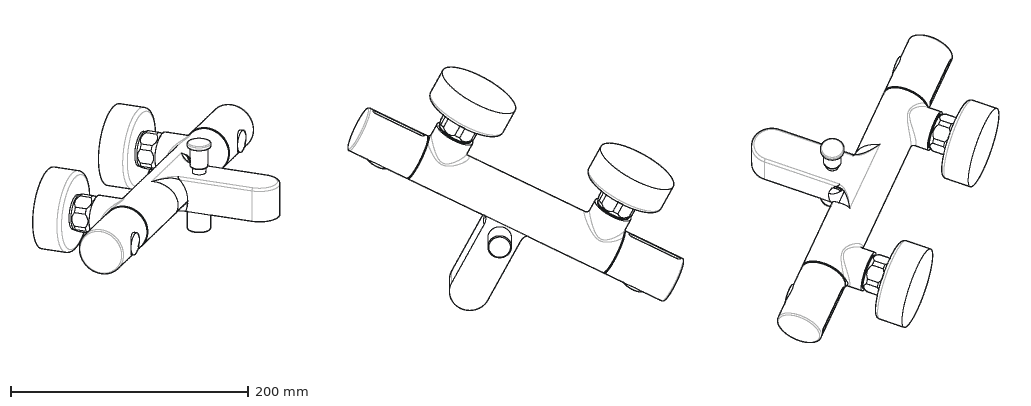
import cadquery as cq
import math

bar_length = 298.8
bar_diameter = 40.0
bar_radius = bar_diameter / 2
bar_end_fillet = 1.2

body_half_length = 92.5
joint_gap = 1.0
joint_depth = 0.5
handle_start = body_half_length + joint_gap
handle_length = bar_length / 2 - handle_start
handle_middle = handle_start + handle_length / 2

groove_width = 6.0
groove_depth = 1.2
groove_end_margin = 3.5
button_diameter = 19.0
button_reach = bar_radius

inlet_spacing = 150.0
rosette_diameter = 70.0
rosette_thickness = 25.0
rosette_fillet = 3.0
rosette_back = -77.7
rosette_front = rosette_back + rosette_thickness
neck_start = -33.5
neck_diameter = 34.5
neck_fillet = 3.3
collar_diameter = 30.0
nut_start = -51.5
nut_end = -33.8
nut_flats = 30.8
nut_corner_diameter = 33.2
nut_cone_length = 4.0
nut_end_radius = 14.5

spout_tip = 101.5
spout_width = 34.5
spout_half_width = spout_width / 2
spout_bottom = -10.0
spout_top = bar_radius
spout_edge_fillet = 2.0

flare_radial = 6.13
flare_outer_radius = bar_radius + flare_radial
flare_width_top = 17.0
flare_width_bottom = 3.0
flare_angle_end = 125.0
flare_sections = 6
flare_overlap = 4.5
bezier_handle = 4 / 3 * (math.sqrt(2) - 1)

diverter_x = 29.5
stem_diameter = 11.5
barrel_diameter = 15.0
barrel_bottom = 25.0
barrel_chamfer = 1.0
cap_diameter = 20.0
cap_bottom = 43.3
cap_rim_top = 47.2
cap_rim_fillet = 1.0
knob_top = 48.7
dome_radius = cap_diameter / 2 - cap_rim_fillet
outlet_diameter = 20.0
outlet_bottom = -31.5
outlet_chamfer = 1.0


def rod_y(diameter, start, end):
    """Cylinder along Y, centred on the bar axis."""
    return cq.Workplane("XZ", origin=(0, start, 0)).circle(diameter / 2).extrude(start - end)


def rod_x(diameter, start, end, y=0.0):
    """Cylinder along X at height zero."""
    return cq.Workplane("YZ", origin=(start, y, 0)).circle(diameter / 2).extrude(end - start)


def rod_z(diameter, bottom, top):
    """Cylinder along Z on the diverter axis."""
    return cq.Workplane("XY", origin=(diverter_x, 0, bottom)).circle(diameter / 2).extrude(top - bottom)


def make_body():
    """Middle of the bar with both filleted inlet necks, trimmed at the handle joints."""
    body = rod_y(bar_diameter, -bar_length / 2, bar_length / 2)
    for side in (-1, 1):
        body = body.union(rod_x(neck_diameter, neck_start, 0, side * inlet_spacing / 2))
    neck_roots = cq.selectors.BoxSelector(
        (neck_start + neck_fillet, -handle_middle, -bar_diameter), (0, handle_middle, bar_diameter)
    )
    body = body.edges(neck_roots).edges("not (|X or |Y)").fillet(neck_fillet)
    trim = cq.Workplane("XY").box(bar_length, 2 * body_half_length, bar_length)
    return body.intersect(trim)


def make_nut(y):
    """Hexagon nut with turned corners and a cone at each end."""
    nut_length = nut_end - nut_start
    hexagon = (
        cq.Workplane("YZ", origin=(nut_start, y, 0))
        .transformed(rotate=(0, 0, 30))
        .polygon(6, nut_flats / math.cos(math.pi / 6))
        .extrude(nut_length)
    )
    corner_radius = nut_corner_diameter / 2
    turned = (
        cq.Workplane("XY", origin=(0, y, 0))
        .polyline(
            [
                (nut_start, 0),
                (nut_start, nut_end_radius),
                (nut_start + nut_cone_length, corner_radius),
                (nut_end - nut_cone_length, corner_radius),
                (nut_end, nut_end_radius),
                (nut_end, 0),
            ]
        )
        .close()
        .revolve(360, (0, 0, 0), (1, 0, 0))
    )
    return hexagon.intersect(turned)


def make_inlet(y):
    """Wall rosette, collar and nut ahead of one neck."""
    rosette = rod_x(rosette_diameter, rosette_back, rosette_front, y)
    rosette = rosette.faces(">X").edges().fillet(rosette_fillet)
    collar = rod_x(collar_diameter, rosette_front, neck_start, y)
    return rosette.union(collar).union(make_nut(y))


def make_grip_groove():
    """Cutter for the V groove: a straight prism with a cone at each end."""
    cutter_depth = 2 * groove_depth
    cutter_half_width = groove_width
    bottom = groove_depth - bar_radius
    mouth = bottom - cutter_depth
    half_length = handle_length / 2 - groove_end_margin - groove_width / 2
    groove = (
        cq.Workplane("XZ", origin=(0, handle_middle + half_length, 0))
        .polyline([(bottom, 0), (mouth, cutter_half_width), (mouth, -cutter_half_width)])
        .close()
        .extrude(2 * half_length)
    )
    for end in (-half_length, half_length):
        base = cq.Vector(mouth, handle_middle + end, 0)
        cone = cq.Solid.makeCone(cutter_half_width, 0, cutter_depth, base, cq.Vector(1, 0, 0))
        groove = groove.union(cq.Workplane(cone))
    return groove


def make_handle():
    """Handle on the +Y end, with a V groove at the back and a flat button in front."""
    handle = rod_y(bar_diameter, handle_start, bar_length / 2)
    handle = handle.faces(">Y").edges().fillet(bar_end_fillet)
    handle = handle.cut(make_grip_groove())
    button = rod_x(button_diameter, 0, button_reach, handle_middle)
    return handle.union(button)


def make_spout():
    """Round-ended spout arm with a rounded top edge."""
    tip_centre = spout_tip - spout_half_width
    arm = (
        cq.Workplane("XY", origin=(0, 0, spout_bottom))
        .moveTo(0, -spout_half_width)
        .lineTo(tip_centre, -spout_half_width)
        .threePointArc((spout_tip, 0), (tip_centre, spout_half_width))
        .lineTo(0, spout_half_width)
        .close()
        .extrude(spout_top - spout_bottom)
    )
    return arm.faces(">Z").edges("not <X").fillet(spout_edge_fillet)


def flare_section(angle):
    """Concave profile in the plane through the bar axis at this angle from straight up."""
    width = flare_width_top + (flare_width_bottom - flare_width_top) * angle / flare_angle_end
    turn = math.radians(angle)
    plane = cq.Plane(
        origin=(0, 0, 0),
        xDir=(math.sin(turn), 0, math.cos(turn)),
        normal=(-math.cos(turn), 0, math.sin(turn)),
    )
    inner = spout_half_width - flare_overlap
    quarter_ellipse = [
        (flare_outer_radius, spout_half_width),
        (flare_outer_radius - bezier_handle * flare_radial, spout_half_width),
        (bar_radius, spout_half_width + width * (1 - bezier_handle)),
        (bar_radius, spout_half_width + width),
    ]
    root_radius = bar_radius - flare_overlap
    section = (
        cq.Workplane(plane)
        .moveTo(root_radius, inner)
        .lineTo(flare_outer_radius, inner)
        .lineTo(flare_outer_radius, spout_half_width)
        .bezier(quarter_ellipse)
        .lineTo(root_radius, spout_half_width + width)
        .close()
    )
    return section.val()


def make_flare():
    """Flare on the +Y side of the spout, trimmed to the spout height."""
    step = flare_angle_end / (flare_sections - 1)
    sections = [flare_section(i * step) for i in range(flare_sections)]
    flare = cq.Workplane(cq.Solid.makeLoft(sections, False))
    trim = (
        cq.Workplane("XY", origin=(0, 0, spout_bottom))
        .rect(bar_length, bar_length)
        .extrude(spout_top - spout_bottom)
    )
    flare = flare.intersect(trim)
    outer_edge = flare.faces(">Z").edges("not <X").edges("not >X").edges("not <Y")
    return outer_edge.fillet(spout_edge_fillet)


def make_diverter():
    """Pull knob: stem, barrel and a domed cap."""
    stem = rod_z(stem_diameter, 0, barrel_bottom)
    barrel = rod_z(barrel_diameter, barrel_bottom, cap_bottom)
    barrel = barrel.faces("<Z").chamfer(barrel_chamfer)
    cap = rod_z(cap_diameter, cap_bottom, cap_rim_top).edges().fillet(cap_rim_fillet)
    dome_middle = (dome_radius / 2, cap_rim_top + 0.75 * (knob_top - cap_rim_top))
    dome = (
        cq.Workplane("XZ", origin=(diverter_x, 0, 0))
        .moveTo(0, cap_rim_top)
        .lineTo(dome_radius, cap_rim_top)
        .threePointArc(dome_middle, (0, knob_top))
        .close()
        .revolve()
    )
    return stem.union(barrel).union(cap).union(dome)


def make_outlet():
    """Water outlet under the spout."""
    return rod_z(outlet_diameter, outlet_bottom, 0).faces("<Z").chamfer(outlet_chamfer)


flare = make_flare()
handle = make_handle()
joint_core = rod_y(bar_diameter - 2 * joint_depth, -handle_start, handle_start)

result = make_body().union(make_spout()).union(flare).union(flare.mirror("XZ"))
result = result.union(joint_core).union(handle).union(handle.mirror("XZ"))
for side in (-1, 1):
    result = result.union(make_inlet(side * inlet_spacing / 2))
result = result.union(make_diverter()).union(make_outlet())